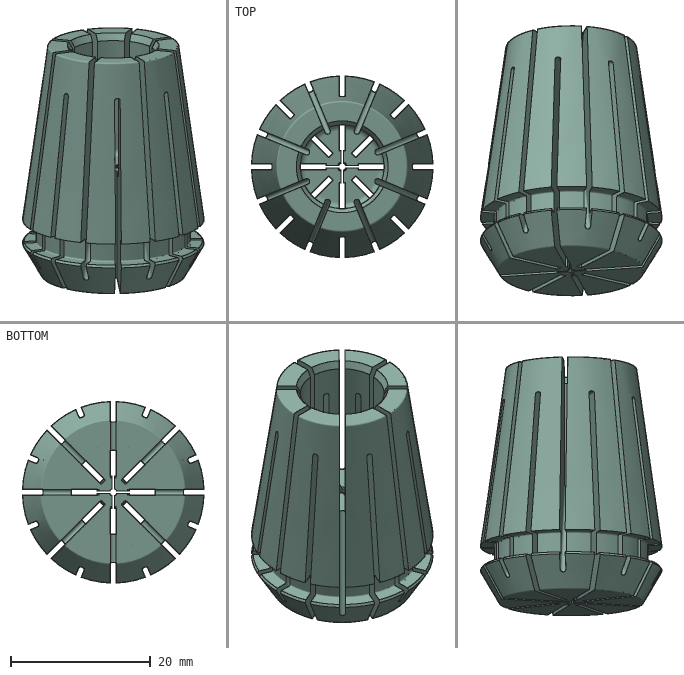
import cadquery as cq
import math

height = 34.0
body_radius = 13.0
body_taper = 8.0
end_edge_fillet = 0.25

groove_bottom = 4.95
groove_top = 8.15
neck_radius = 11.0
neck_fillet = 0.2
flange_taper = 30.0
rim_chamfer_height = 0.35
rim_chamfer_width = 0.25

relief_radius = 6.0
relief_floor = 15.98
relief_fillet = 0.85
mouth_chamfer_width = 0.58
mouth_chamfer_angle = 30.0
tool_bore_radius = 0.5
tool_bore_chamfer = 0.17

slot_width = 0.8
slot_count = 8

lower_slot_top = 28.97
lower_slot_inner_radius = 2.05
lower_slot_curve_start = 11.55
lower_slot_curve_radius = 35.7

upper_slot_bottom = 2.25
upper_slot_slope = 64.5

cross_slot_width = 0.3

flange_slope = math.tan(math.radians(flange_taper))
rim_z = groove_bottom - rim_chamfer_height
flange_bottom_radius = body_radius - rim_z * flange_slope
top_radius = body_radius - (height - groove_top) * math.tan(math.radians(body_taper))
mouth_chamfer_depth = mouth_chamfer_width / math.tan(math.radians(mouth_chamfer_angle))
slot_half_width = slot_width / 2
slot_step = 360.0 / slot_count
cutter_reach = 1.2 * height


def revolve_outline(points):
    """Turn a closed (radius, z) outline about the Z axis."""
    return cq.Workplane("XZ").polyline(points).close().revolve(360, (0, 0, 0), (0, 1, 0))


def make_body():
    cones = revolve_outline([
        (0, 0),
        (flange_bottom_radius, 0),
        (body_radius, rim_z),
        (body_radius - rim_chamfer_width, groove_bottom),
        (body_radius, groove_top),
        (top_radius, height),
        (0, height),
    ])
    cones = cones.faces("<Z or >Z").edges().fillet(end_edge_fillet)
    neck_core = (
        cq.Workplane("XY", origin=(0, 0, groove_bottom))
        .circle(neck_radius)
        .extrude(groove_top - groove_bottom)
    )
    groove = (
        cq.Workplane("XY", origin=(0, 0, groove_bottom))
        .circle(cutter_reach)
        .extrude(groove_top - groove_bottom)
        .cut(neck_core)
        .edges(cq.selectors.RadiusNthSelector(0))
        .fillet(neck_fillet)
    )
    return cones.cut(groove)


def make_bores():
    relief = (
        cq.Workplane("XY", origin=(0, 0, relief_floor))
        .circle(relief_radius)
        .extrude(height - relief_floor)
        .faces("<Z").edges().fillet(relief_fillet)
    )
    mouth = revolve_outline([
        (0, height - mouth_chamfer_depth),
        (relief_radius, height - mouth_chamfer_depth),
        (relief_radius + mouth_chamfer_width, height),
        (0, height),
    ])
    tool_bore = revolve_outline([
        (0, 0),
        (tool_bore_radius, 0),
        (tool_bore_radius, relief_floor - tool_bore_chamfer),
        (tool_bore_radius + tool_bore_chamfer, relief_floor),
        (0, relief_floor),
    ])
    return relief.union(mouth).union(tool_bore)


def lower_slot_end_radius(z):
    """Distance from the axis of the curved inner slot end at height z."""
    rise = z - lower_slot_curve_start
    bulge = lower_slot_curve_radius - math.sqrt(lower_slot_curve_radius ** 2 - rise ** 2)
    return lower_slot_inner_radius + bulge


def make_lower_slot():
    curve_middle_z = (lower_slot_curve_start + relief_floor) / 2
    curve_middle = (lower_slot_end_radius(curve_middle_z), curve_middle_z)
    curve_end = (lower_slot_end_radius(relief_floor), relief_floor)
    side_shape = (
        cq.Workplane("XZ")
        .moveTo(lower_slot_inner_radius, 0)
        .lineTo(lower_slot_inner_radius, lower_slot_curve_start)
        .threePointArc(curve_middle, curve_end)
        .lineTo(curve_end[0], lower_slot_top)
        .lineTo(cutter_reach, lower_slot_top)
        .lineTo(cutter_reach, 0)
        .close()
        .extrude(slot_half_width, both=True)
    )
    round_start_z = lower_slot_top - slot_half_width
    round_top_shape = (
        cq.Workplane("YZ")
        .moveTo(-slot_half_width, 0)
        .lineTo(slot_half_width, 0)
        .lineTo(slot_half_width, round_start_z)
        .threePointArc((0, lower_slot_top), (-slot_half_width, round_start_z))
        .close()
        .extrude(cutter_reach)
    )
    return side_shape.intersect(round_top_shape)


def make_upper_slot():
    slope = math.radians(upper_slot_slope)
    inward = cq.Vector(-math.cos(slope), 0, math.sin(slope))
    upward = cq.Vector(math.sin(slope), 0, math.cos(slope))
    exit_radius = flange_bottom_radius + upper_slot_bottom * flange_slope
    exit_point = cq.Vector(exit_radius, 0, upper_slot_bottom)
    axis_point = exit_point + upward * slot_half_width
    low_end = axis_point - inward * cutter_reach
    high_end = axis_point + inward * cutter_reach
    round_floor = cq.Workplane(
        cq.Solid.makeCylinder(slot_half_width, 2 * cutter_reach, low_end, inward)
    )
    flat_sides = (
        cq.Workplane("XZ")
        .moveTo(low_end.x, low_end.z)
        .lineTo(high_end.x, high_end.z)
        .lineTo(low_end.x, high_end.z)
        .close()
        .extrude(slot_half_width, both=True)
    )
    outward_side = cq.Workplane("XY").box(
        cutter_reach, cutter_reach, 2 * cutter_reach, centered=(False, True, True)
    )
    return flat_sides.union(round_floor).intersect(outward_side)


def make_cross_slot():
    length = 2 * (lower_slot_end_radius(relief_floor) + slot_half_width)
    return cq.Workplane("XY").box(
        length, cross_slot_width, relief_floor, centered=(True, True, False)
    )


def turned(shape, angle):
    """Rotate a shape about the collet axis."""
    return shape.rotate((0, 0, 0), (0, 0, 1), angle)


result = make_body().cut(make_bores())

lower_slot = make_lower_slot()
upper_slot = make_upper_slot()
for index in range(slot_count):
    result = result.cut(turned(lower_slot, index * slot_step))
    result = result.cut(turned(upper_slot, (index + 0.5) * slot_step))

cross_slot = make_cross_slot()
for cross_angle in (0, 90):
    result = result.cut(turned(cross_slot, cross_angle))

result = result.solids()